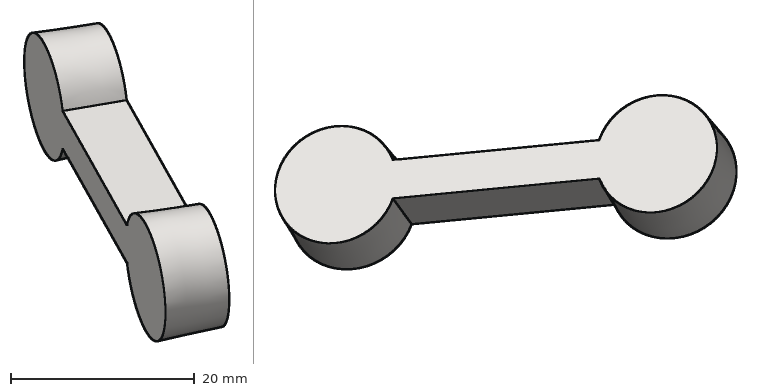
import cadquery as cq

length = 50.25
depth = 7.4
disc_diameter = 14.15
bar_height = 5.0
draft_angle = 2.0

disc_offset = (length - disc_diameter) / 2

front_plane = cq.Plane(origin=(0, -depth / 2, 0), xDir=(1, 0, 0), normal=(0, 1, 0))


def drafted_discs():
    """Round ends whose walls lean inward toward the back."""
    return (
        cq.Workplane(front_plane)
        .pushPoints([(-disc_offset, 0), (disc_offset, 0)])
        .circle(disc_diameter / 2)
        .extrude(depth, taper=draft_angle)
    )


def drafted_bar():
    """Bar between the disc centres with the same draft; its ends stay inside the discs."""
    return (
        cq.Workplane(front_plane)
        .rect(2 * disc_offset, bar_height)
        .extrude(depth, taper=draft_angle)
    )


result = drafted_discs().union(drafted_bar())